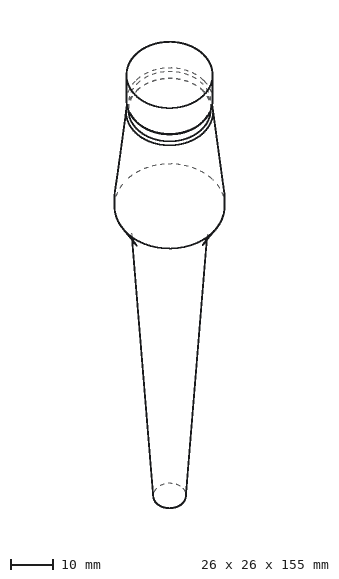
import cadquery as cq
import math

total_length = 155.0

head_diameter = 20.3
groove_diameter = 19.4
belly_diameter = 26.0
tail_end_diameter = 7.75

head_length = 9.5
groove_flank_length = 0.8
groove_floor_length = 2.5
body_length = 31.5
belly_length = 3.2

body_angle = 5.0
lower_taper_angle = 24.0
tail_angle = 3.0

neck_fillet_radius = 3.0

head_radius = head_diameter / 2
groove_radius = groove_diameter / 2
belly_radius = belly_diameter / 2
tail_end_radius = tail_end_diameter / 2

head_bottom = total_length - head_length
groove_floor_top = head_bottom - groove_flank_length
groove_floor_bottom = groove_floor_top - groove_floor_length
shoulder_z = groove_floor_bottom - groove_flank_length
belly_top = shoulder_z - body_length
belly_bottom = belly_top - belly_length

body_slope = math.tan(math.radians(body_angle))
lower_taper_slope = math.tan(math.radians(lower_taper_angle))
tail_slope = math.tan(math.radians(tail_angle))

shoulder_radius = belly_radius - body_length * body_slope

neck_rise = lower_taper_slope * belly_bottom - belly_radius + tail_end_radius
neck_z = neck_rise / (lower_taper_slope - tail_slope)
neck_radius = tail_end_radius + neck_z * tail_slope


def turned_body():
    """Revolve the half profile about Z."""
    profile = (
        cq.Workplane("XZ")
        .moveTo(0, 0)
        .lineTo(tail_end_radius, 0)
        .lineTo(neck_radius, neck_z)
        .lineTo(belly_radius, belly_bottom)
        .lineTo(belly_radius, belly_top)
        .lineTo(shoulder_radius, shoulder_z)
        .lineTo(groove_radius, groove_floor_bottom)
        .lineTo(groove_radius, groove_floor_top)
        .lineTo(head_radius, head_bottom)
        .lineTo(head_radius, total_length)
        .lineTo(0, total_length)
        .close()
    )
    return profile.revolve(360, (0, 0, 0), (0, 1, 0))


def fillet_neck(body):
    """Round the inside corner between the lower taper and the tail."""
    box_margin = 0.5
    reach = belly_radius
    neck_edge = cq.selectors.BoxSelector(
        (-reach, -reach, neck_z - box_margin),
        (reach, reach, neck_z + box_margin),
        boundingbox=True,
    )
    return body.edges(neck_edge).fillet(neck_fillet_radius)


result = fillet_neck(turned_body())